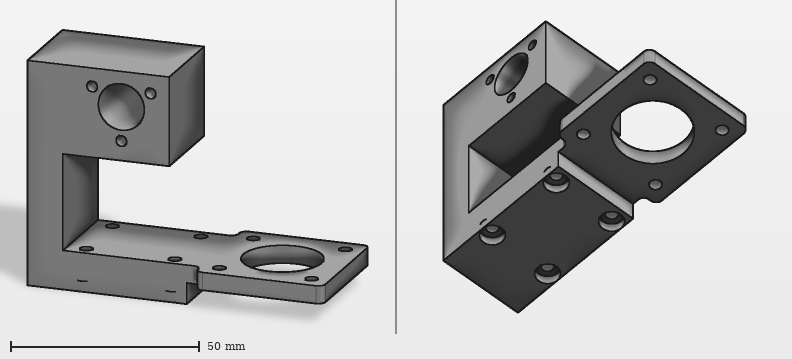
import cadquery as cq
import math

length = 85.0
height = 63.0
flange_width = 36.0
body_width = 26.95
body_centre_y = -0.25

column_thickness = 10.0
head_length = 40.0
head_height = 25.0
base_length = 45.0
arm_top = 11.0
plate_thickness = 5.0
plate_bottom = arm_top - plate_thickness

flange_start = 49.0
corner_radius = 2.0
flange_bore_diameter = 22.0
flange_bore_x = 67.0
flange_hole_diameter = 3.5
flange_hole_spacing = 26.0

head_bore_diameter = 13.0
head_bore_x = 26.5
head_bore_z = 53.0
head_hole_diameter = 3.0
head_hole_circle_radius = 9.5
head_hole_angles = (30, 150, 270)

mount_hole_diameter = 3.5
mount_counterbore_diameter = 6.9
mount_counterbore_depth = 3.0
mount_first_x = 15.4
mount_spacing_x = 25.0
mount_spacing_y = 20.0


def make_body():
    """C-shaped side outline, extruded across the body width."""
    return (
        cq.Workplane("XZ")
        .moveTo(0, 0)
        .lineTo(base_length, 0)
        .lineTo(base_length, arm_top)
        .lineTo(column_thickness, arm_top)
        .lineTo(column_thickness, height - head_height)
        .lineTo(head_length, height - head_height)
        .lineTo(head_length, height)
        .lineTo(0, height)
        .close()
        .extrude(body_width / 2, both=True)
        .translate((0, body_centre_y, 0))
    )


def make_flange():
    """Rounded flange plate joined to the arm by filleted inside corners."""
    neck = (
        cq.Workplane("XY", origin=(0, 0, plate_bottom))
        .rect(flange_start, body_width)
        .extrude(plate_thickness)
        .translate((flange_start / 2, body_centre_y, 0))
    )
    flange_length = length - flange_start
    flange = (
        cq.Workplane("XY", origin=(flange_start + flange_length / 2, 0, plate_bottom))
        .rect(flange_length, flange_width)
        .extrude(plate_thickness)
        .edges("|Z")
        .fillet(corner_radius)
    )
    margin = 0.4
    half_reach = body_width / 2 + margin
    inside_corners = cq.selectors.BoxSelector(
        (flange_start - margin, body_centre_y - half_reach, 0),
        (flange_start + margin, body_centre_y + half_reach, arm_top),
    )
    return neck.union(flange).edges("|Z").edges(inside_corners).fillet(corner_radius)


def cut_flange_holes(part):
    """Central bore and a square of four screw holes through the flange."""
    centre = cq.Workplane("XY", origin=(flange_bore_x, 0, plate_bottom))
    bore = centre.circle(flange_bore_diameter / 2).extrude(plate_thickness)
    holes = (
        centre.rect(flange_hole_spacing, flange_hole_spacing, forConstruction=True)
        .vertices()
        .circle(flange_hole_diameter / 2)
        .extrude(plate_thickness)
    )
    return part.cut(bore).cut(holes)


def cut_head_holes(part):
    """Cross bore with three screw holes around it, along Y through the head."""
    hole_points = [
        (
            head_hole_circle_radius * math.cos(math.radians(angle)),
            head_hole_circle_radius * math.sin(math.radians(angle)),
        )
        for angle in head_hole_angles
    ]
    centre = cq.Workplane("XZ", origin=(head_bore_x, body_centre_y, head_bore_z))
    bore = centre.circle(head_bore_diameter / 2).extrude(body_width / 2, both=True)
    holes = (
        centre.pushPoints(hole_points)
        .circle(head_hole_diameter / 2)
        .extrude(body_width / 2, both=True)
    )
    return part.cut(bore).cut(holes)


def cut_mount_holes(part):
    """Four vertical holes through the base, counterbored from below."""
    half_spacing_y = mount_spacing_y / 2
    for x in (mount_first_x, mount_first_x + mount_spacing_x):
        for y in (body_centre_y - half_spacing_y, body_centre_y + half_spacing_y):
            seat = cq.Workplane("XY", origin=(x, y, 0))
            hole = seat.circle(mount_hole_diameter / 2).extrude(arm_top)
            counterbore = seat.circle(mount_counterbore_diameter / 2).extrude(mount_counterbore_depth)
            part = part.cut(hole).cut(counterbore)
    return part


result = make_body().union(make_flange())
result = cut_flange_holes(result)
result = cut_head_holes(result)
result = cut_mount_holes(result)